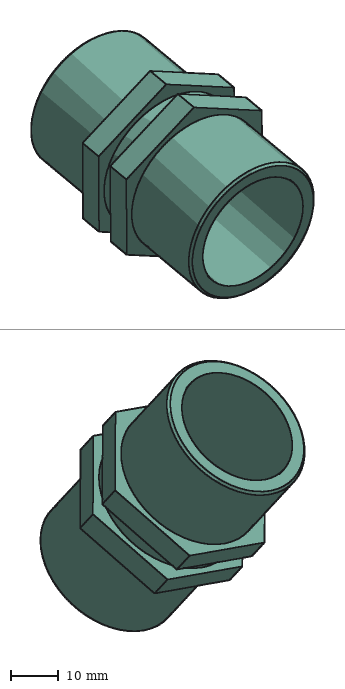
import cadquery as cq

tube_length = 55.0
outer_diameter = 33.3
bore_diameter = 26.6
end_chamfer = 0.55

nut_across_corners = 41.6
nut_width = 5.5
nut_gap = 3.95
first_nut_offset = 20.0
nut_turn = 0.3


def make_tube_body():
    """Solid cylinder with both outer end edges chamfered."""
    body = cq.Workplane("YZ").circle(outer_diameter / 2).extrude(tube_length / 2, both=True)
    return body.faces("<X or >X").edges().chamfer(end_chamfer)


def make_nut(start_x):
    """Hexagonal nut blank starting at start_x, with corners at top and bottom."""
    nut = (
        cq.Workplane("YZ", origin=(start_x, 0, 0))
        .transformed(rotate=(0, 0, 90 + nut_turn))
        .polygon(6, nut_across_corners)
        .extrude(nut_width)
    )
    return nut


result = make_tube_body()
first_nut_x = -tube_length / 2 + first_nut_offset
for start_x in (first_nut_x, first_nut_x + nut_width + nut_gap):
    result = result.union(make_nut(start_x))

bore = cq.Workplane("YZ").circle(bore_diameter / 2).extrude(tube_length, both=True)
result = result.cut(bore)